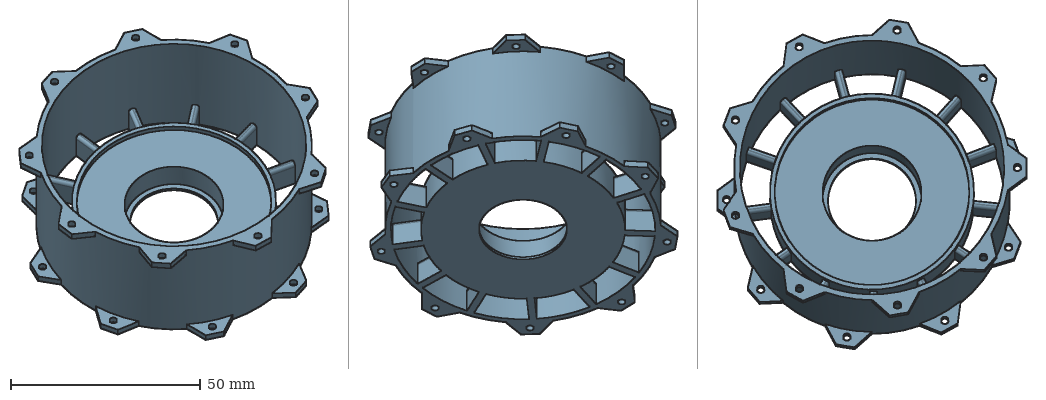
import cadquery as cq

height = 32.5
shell_outer_diameter = 73.0
shell_inner_diameter = 70.0

rim_outer_diameter = 54.0
rim_inner_diameter = 51.5
rim_height = 9.5
disc_height = 8.0
bore_diameter = 26.2
lip_diameter = 23.2
lip_thickness = 0.8

spoke_count = 13
spoke_width = 2.05
spoke_height = disc_height
spoke_edge_radius = 1.0
spoke_overlap = 0.4

ears_per_end = 9
ear_thickness = 2.0
ear_tip_distance = 40.9
ear_base_distance = 35.6
ear_tip_width = 5.0
ear_base_width = 13.1
ear_hole_diameter = 2.0
ear_hole_distance = 38.5


def tube(outer_diameter, inner_diameter, length):
    """A ring standing on the XY plane."""
    return cq.Workplane("XY").circle(outer_diameter / 2).circle(inner_diameter / 2).extrude(length)


def make_hub():
    rim = tube(rim_outer_diameter, rim_inner_diameter, rim_height)
    disc = tube(rim_outer_diameter, bore_diameter, disc_height)
    lip = tube(rim_outer_diameter, lip_diameter, lip_thickness)
    return disc.union(rim).union(lip)


def make_spoke():
    """A spoke along +Y with rounded top edges, its ends sunk into the hub and the shell."""
    inner_end = rim_outer_diameter / 2 - spoke_overlap
    outer_end = shell_inner_diameter / 2 + spoke_overlap
    return (
        cq.Workplane("XY")
        .box(spoke_width, outer_end - inner_end, spoke_height, centered=(True, False, False))
        .edges("|Y and >Z")
        .fillet(spoke_edge_radius)
        .translate((0, inner_end, 0))
    )


def make_ear():
    """A drilled, tapered ear pointing along +Y, its wide base sunk into the shell wall."""
    return (
        cq.Workplane("XY")
        .moveTo(-ear_base_width / 2, ear_base_distance)
        .lineTo(-ear_tip_width / 2, ear_tip_distance)
        .lineTo(ear_tip_width / 2, ear_tip_distance)
        .lineTo(ear_base_width / 2, ear_base_distance)
        .close()
        .moveTo(0, ear_hole_distance)
        .circle(ear_hole_diameter / 2)
        .extrude(ear_thickness)
    )


def add_around(body, feature, count):
    """Join equally spaced copies of a feature to the body, turned about the Z axis."""
    for index in range(count):
        body = body.union(feature.rotate((0, 0, 0), (0, 0, 1), index * 360 / count))
    return body


result = tube(shell_outer_diameter, shell_inner_diameter, height).union(make_hub())
result = add_around(result, make_spoke(), spoke_count)

upper_ear = make_ear().translate((0, 0, height - ear_thickness))
lower_ear = make_ear().rotate((0, 0, 0), (0, 0, 1), 180)
result = add_around(result, upper_ear, ears_per_end)
result = add_around(result, lower_ear, ears_per_end)